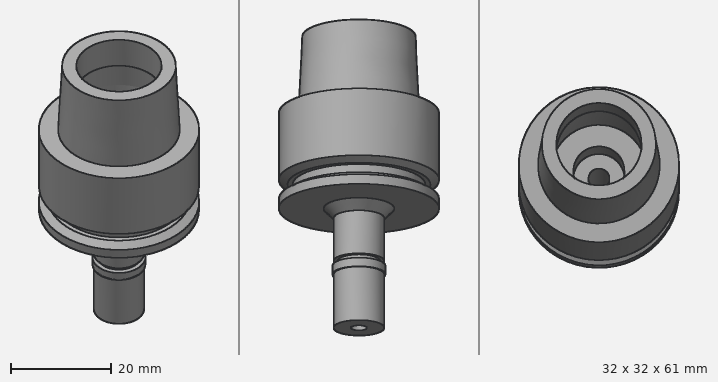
import cadquery as cq
import math

overall_length = 61.0
nut_length = 13.0
shank_bottom = 14.0
shank_top = 23.0
flange_bottom = 25.0
lower_rim_top = 27.0
grip_groove_bottom = 28.0
grip_groove_top = 30.0
flange_straight_bottom = 31.0
flange_face = 45.0

flange_radius = 16.0
grip_groove_radius = 13.25
grip_groove_flank_angle = 60.0
shank_radius = 5.05
neck_radius = 4.25
taper_base_radius = 12.15
taper_ratio = 1 / 10

mouth_radius = 8.5
mouth_depth = 6.5
undercut_radius = 10.25
undercut_depth = 12.7
cavity_wall_angle = 5.0
cavity_depth = 21.0
socket_radius = 5.1
socket_depth = 6.0
holder_bore_radius = 2.1

nut_radius = shank_radius
nut_collar_radius = 5.3
nut_collar_height = 1.8
nut_bore_radius = 1.6

taper_length = overall_length - flange_face
taper_tip_radius = taper_base_radius - taper_length * taper_ratio / 2
flank_height = grip_groove_bottom - lower_rim_top
flank_radius = flange_radius - flank_height * math.tan(math.radians(grip_groove_flank_angle))
shank_cone_radius = shank_radius + flange_bottom - shank_top
undercut_bottom = overall_length - undercut_depth
cavity_floor = overall_length - cavity_depth
cavity_floor_radius = undercut_radius - (cavity_depth - undercut_depth) * math.tan(
    math.radians(cavity_wall_angle)
)
mouth_bottom = overall_length - mouth_depth
socket_bottom = cavity_floor - socket_depth


def cylinder(radius, bottom, top):
    """Solid cylinder on the Z axis between two heights."""
    return cq.Workplane("XY").workplane(offset=bottom).circle(radius).extrude(top - bottom)


def revolve_about_axis(profile):
    """Solid of revolution about Z from (radius, height) points."""
    return cq.Workplane("XZ").polyline(profile).close().revolve(360, (0, 0), (0, 1))


def make_cavity():
    """Hollow of the holder: mouth, undercut, narrowing lower part, socket and through bore."""
    profile = [
        (0, nut_length),
        (holder_bore_radius, nut_length),
        (holder_bore_radius, socket_bottom),
        (socket_radius, socket_bottom),
        (socket_radius, cavity_floor),
        (cavity_floor_radius, cavity_floor),
        (undercut_radius, undercut_bottom),
        (undercut_radius, mouth_bottom),
        (mouth_radius, mouth_bottom),
        (mouth_radius, overall_length),
        (0, overall_length),
    ]
    return revolve_about_axis(profile)


def make_holder():
    """Taper, gripper flange and shank turned as one piece, hollowed from the top."""
    profile = [
        (0, nut_length),
        (neck_radius, nut_length),
        (neck_radius, shank_bottom),
        (shank_radius, shank_bottom),
        (shank_radius, shank_top),
        (shank_cone_radius, flange_bottom),
        (flange_radius, flange_bottom),
        (flange_radius, lower_rim_top),
        (flank_radius, grip_groove_bottom),
        (grip_groove_radius, grip_groove_bottom),
        (grip_groove_radius, grip_groove_top),
        (flank_radius, grip_groove_top),
        (flange_radius, flange_straight_bottom),
        (flange_radius, flange_face),
        (taper_base_radius, flange_face),
        (taper_tip_radius, overall_length),
        (0, overall_length),
    ]
    return revolve_about_axis(profile).cut(make_cavity())


def make_nut():
    """Clamping nut below the neck, with a slightly larger collar at its upper end."""
    barrel = cylinder(nut_radius, 0, nut_length)
    collar = cylinder(nut_collar_radius, nut_length - nut_collar_height, nut_length)
    bore = cylinder(nut_bore_radius, 0, nut_length)
    return barrel.union(collar).cut(bore)


holder = make_holder()
nut = make_nut()

result = cq.Compound.makeCompound([holder.val(), nut.val()])